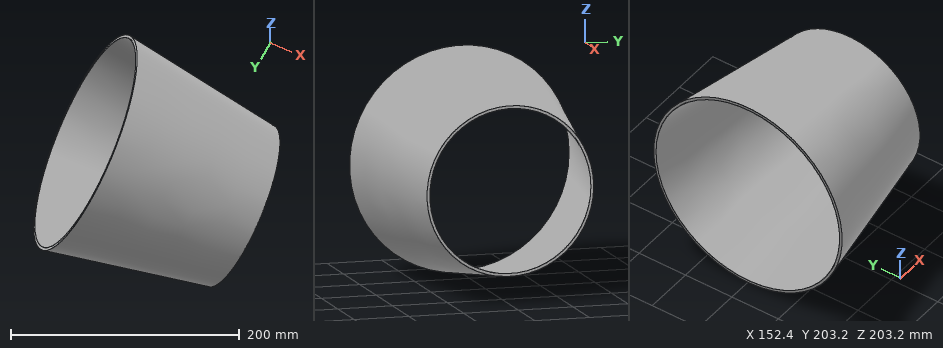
import cadquery as cq

INCH = 25.4
length = 6 * INCH
large_outer_diameter = 8 * INCH
small_outer_diameter = 6 * INCH
wall = 0.109 * INCH

large_outer_radius = large_outer_diameter / 2
small_outer_radius = small_outer_diameter / 2
large_inner_radius = large_outer_radius - wall
small_inner_radius = small_outer_radius - wall


def reducer_shell():
    """Revolve the sloped wall section around the X axis."""
    wall_section = (
        cq.Workplane("XY")
        .moveTo(0, large_inner_radius)
        .lineTo(0, large_outer_radius)
        .lineTo(length, small_outer_radius)
        .lineTo(length, small_inner_radius)
        .close()
    )
    return wall_section.revolve(360, (0, 0, 0), (1, 0, 0))


result = reducer_shell()